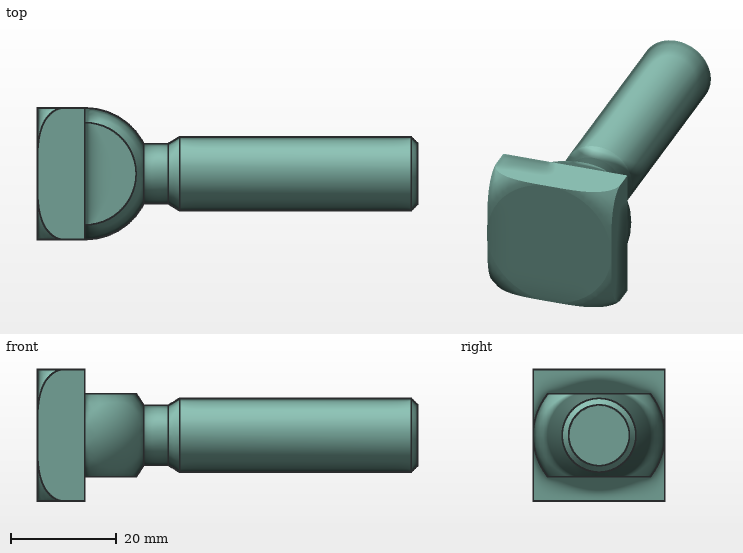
import cadquery as cq
import math

total_length = 72.0
head_width = 25.0
head_thickness = 9.0

ball_radius = head_width / 2
ball_flat_thickness = 15.8

neck_radius = 5.7
neck_end = 24.8
shank_radius = 7.0
shank_start = 26.9
tip_chamfer_length = 1.2
tip_radius = 5.75


def make_head():
    """Square head whose corners are rounded about the bolt axis on the outer face."""
    face_radius = head_width / 2
    corner_radius = face_radius * math.sqrt(2)
    rounding = corner_radius - face_radius
    diagonal = rounding * math.sqrt(0.5)
    rounded_blank = (
        cq.Workplane("XY")
        .lineTo(0, face_radius)
        .threePointArc((rounding - diagonal, face_radius + diagonal), (rounding, corner_radius))
        .lineTo(head_thickness, corner_radius)
        .lineTo(head_thickness, 0)
        .close()
        .revolve(360, (0, 0, 0), (1, 0, 0))
    )
    block = cq.Workplane("XY").box(
        head_thickness, head_width, head_width, centered=(False, True, True)
    )
    return block.intersect(rounded_blank)


def make_half_ball():
    """Half ball centred on the back of the head and cut to two parallel flats."""
    ball = cq.Workplane("XY").sphere(ball_radius).translate((head_thickness, 0, 0))
    slab = (
        cq.Workplane("XY")
        .box(ball_radius, head_width, ball_flat_thickness, centered=(False, True, True))
        .translate((head_thickness, 0, 0))
    )
    return ball.intersect(slab)


def make_shank():
    """Neck, tapered shoulder, plain shank and chamfered tip as one turned profile."""
    return (
        cq.Workplane("XY")
        .moveTo(head_thickness, 0)
        .lineTo(head_thickness, neck_radius)
        .lineTo(neck_end, neck_radius)
        .lineTo(shank_start, shank_radius)
        .lineTo(total_length - tip_chamfer_length, shank_radius)
        .lineTo(total_length, tip_radius)
        .lineTo(total_length, 0)
        .close()
        .revolve(360, (0, 0, 0), (1, 0, 0))
    )


result = make_head().union(make_half_ball()).union(make_shank())